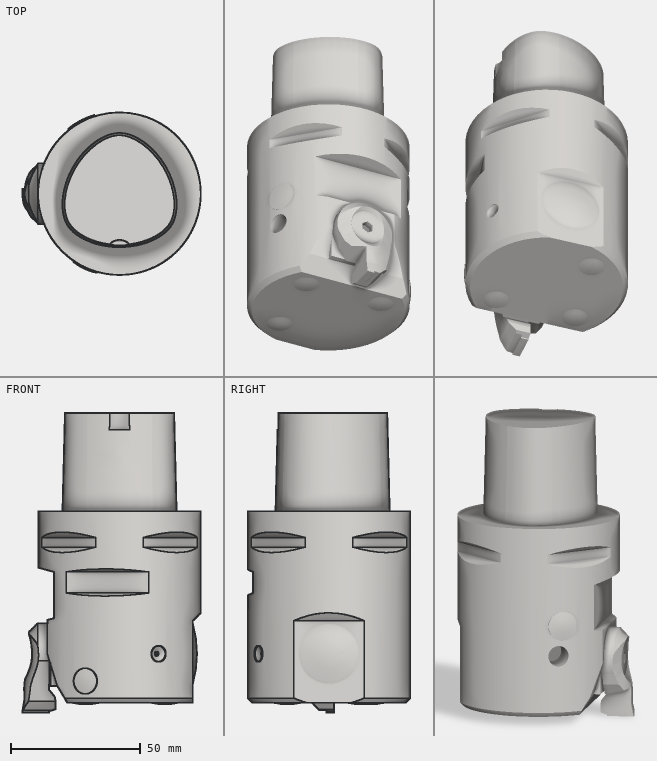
import math

import cadquery as cq

BODY_DIAMETER = 63.0
BODY_RADIUS = BODY_DIAMETER / 2
BODY_LENGTH = 74.2
BODY_CHAMFER = 1.9
BEYOND = 2 * BODY_DIAMETER

SHANK_LENGTH = 38.0
SHANK_BASE_RADIUS = 22.2
SHANK_TAPER = 1 / 40
LOBES = 3
LOBE_ECCENTRICITY = 1.4
SPLINE_STEPS = 6
FLANK_HALF_ANGLE = 25
NOTCH_DIAMETER = 10.0
NOTCH_HEIGHT = 6.5
NOTCH_CENTER_Y = -22.9

GROOVE_Z = -12.1
GROOVE_FLOOR_WIDTH = 3.7
GROOVE_FLOOR_RADIUS = 27.8
GROOVE_WALL_ANGLE = 30
GROOVE_DIRECTIONS = (45, 135, 225, 315)

POCKET_TOP_Z = -23.5
POCKET_HEIGHT = 8.1
POCKET_FLOOR_RADIUS = 27.0
POCKET_DIRECTION = 260
FLARE_ANGLE = 15

RELIEF_FLOOR_X = -25.4
RELIEF_BOTTOM_Z = -41.4
TOOL_FACE_X = -28.0
TOOL_AXIS_Z = -55.2
SLOPE_KNEE_X = -24.1
SLOPE_KNEE_Z = -67.6
SLOPE_END_X = -20.2

SEAT_X = -26.7
SEAT_BOTTOM_Z = -67.7
SEAT_DIAMETER = 24.0
SEAT_CLEARANCE = 9.3
SEAT_BLOCK_DEPTH = 9.3

FLAT_X = 28.4
FLAT_TOP_Z = -42.5

PLUG_DIAMETER = 10.0
PLUG_RISE = 0.6
PLUG_SINK = 3.5
WALL_PLUG_DIRECTION = 245
WALL_PLUG_Z = -65.8
LARGE_PLUG_DIAMETER = 11.4
LARGE_PLUG_DIRECTION = 118
LARGE_PLUG_Z = -38.5
FLAT_PLUG_DIAMETER = 23.2
FLAT_PLUG_RISE = 1.6
BOTTOM_PLUG_PLACES = ((-13.1, -16.1), (-13.1, 16.1), (17.4, 12.4))

SIDE_HOLE_DIAMETER = 8.0
SIDE_HOLE_DEPTH = 11.6
SIDE_HOLE_DIRECTION = 115
SIDE_HOLE_Z = -50.2
NOZZLE_DIRECTION = 299
NOZZLE_RIM_DIAMETER = 6.3
NOZZLE_RIM_DEPTH = 0.5
NOZZLE_MOUTH_DIAMETER = 6.0
NOZZLE_THROAT_DIAMETER = 1.7
NOZZLE_CONE_DEPTH = 1.4
NOZZLE_BORE_DIAMETER = 1.0
NOZZLE_BORE_DEPTH = 4.6

HEAD_DIAMETER = 23.8
HEAD_RADIUS = HEAD_DIAMETER / 2
HEAD_RIM_X = -31.7
FRONT_MARGIN = 1.2
HEAD_FRONT_X = -38.3
BLADE_BACK_X = -27.3
GULLET_Y = 2.0
GULLET_FRONT_Z = -66.4
GULLET_BACK_Z = -68.7
TIP_X = -37.7
TIP_END_Y = -1.0
TIP_Z = -78.0

SCREW_HEAD_DIAMETER = 13.6
SCREW_FRONT_X = -33.9
SCREW_SEAT_X = -30.2
SCREW_SHANK_DIAMETER = 6.0
SCREW_TIP_X = -17.4
SCREW_HEX_DIAMETER = 5.0
HEX_SIDES = 6
SCREW_HEX_DEPTH = 2.9
HEX_TURN = 90
COUNTERSINK_DIAMETER = 13.9
COUNTERSINK_SLOPE = 1.1


def radial_plane(direction, distance, z):
    """Plane facing away from the tool axis, with its local Y along Z."""
    angle = math.radians(direction)
    outward = cq.Vector(math.cos(angle), math.sin(angle), 0)
    sideways = (-math.sin(angle), math.cos(angle), 0)
    return cq.Plane(outward * distance + cq.Vector(0, 0, z), sideways, outward)


def tool_plane(x):
    """Plane at x facing -X, centred on the axis of the cutting head."""
    return radial_plane(180, -x, TOOL_AXIS_Z)


def lobe_point(parameter, radius):
    """Point of the three-lobed curve; parameter 0 is the middle of the -Y flank."""
    t = math.radians(parameter)
    e = LOBE_ECCENTRICITY
    outward = radius * math.cos(t) - 2 * e * math.cos(2 * t) + e * math.cos(4 * t)
    sideways = radius * math.sin(t) + 2 * e * math.sin(2 * t) + e * math.sin(4 * t)
    return sideways, -outward


def lobe_wire(z):
    radius = SHANK_BASE_RADIUS - SHANK_TAPER * z
    pitch = 360 / LOBES
    edges = []
    for lobe in range(LOBES):
        flank_middle = pitch * lobe
        flank_start = flank_middle - FLANK_HALF_ANGLE
        seams = (flank_start, flank_middle + FLANK_HALF_ANGLE, flank_start + pitch)
        for start, end in zip(seams, seams[1:]):
            steps = [start + (end - start) * k / SPLINE_STEPS for k in range(SPLINE_STEPS + 1)]
            edges.append(cq.Edge.makeSpline([cq.Vector(*lobe_point(s, radius), z) for s in steps]))
    return cq.Wire.assembleEdges(edges)


def make_shank():
    shank = cq.Workplane(cq.Solid.makeLoft([lobe_wire(0), lobe_wire(SHANK_LENGTH)], True))
    notch = (
        cq.Workplane("XY", origin=(0, NOTCH_CENTER_Y, SHANK_LENGTH - NOTCH_HEIGHT))
        .circle(NOTCH_DIAMETER / 2)
        .extrude(NOTCH_HEIGHT)
    )
    return shank.cut(notch)


def flared_slot(direction, floor_radius, middle_z, floor_width, wall_angle):
    """Straight slot across the round body whose walls open outward from its flat floor."""
    depth = BODY_RADIUS - floor_radius
    half_floor = floor_width / 2
    half_mouth = half_floor + depth * math.tan(math.radians(wall_angle))
    return (
        cq.Workplane("XZ")
        .moveTo(floor_radius, middle_z - half_floor)
        .lineTo(BODY_RADIUS, middle_z - half_mouth)
        .lineTo(BODY_RADIUS, middle_z + half_mouth)
        .lineTo(floor_radius, middle_z + half_floor)
        .close()
        .extrude(BODY_RADIUS, both=True)
        .rotate((0, 0, 0), (0, 0, 1), direction)
    )


def tool_face_cutter():
    flare = math.tan(math.radians(FLARE_ANGLE))
    outer_x = -BEYOND
    profile = [
        (outer_x, POCKET_TOP_Z + (RELIEF_FLOOR_X - outer_x) * flare),
        (RELIEF_FLOOR_X, POCKET_TOP_Z),
        (RELIEF_FLOOR_X, RELIEF_BOTTOM_Z),
        (TOOL_FACE_X, RELIEF_BOTTOM_Z - (RELIEF_FLOOR_X - TOOL_FACE_X) * flare),
        (TOOL_FACE_X, TOOL_AXIS_Z),
        (SLOPE_KNEE_X, SLOPE_KNEE_Z),
        (SLOPE_END_X, -BODY_LENGTH),
        (outer_x, -BODY_LENGTH),
    ]
    return cq.Workplane("XZ").polyline(profile).close().extrude(BODY_RADIUS, both=True)


def seat_block(start_x, depth):
    """Block below the tool axis, as wide as the seat, reaching from start_x toward -X."""
    height = TOOL_AXIS_Z - SEAT_BOTTOM_Z
    return (
        cq.Workplane(tool_plane(start_x))
        .center(0, -height / 2)
        .rect(SEAT_DIAMETER, height)
        .extrude(depth)
    )


def flat_cutter():
    profile = [
        (FLAT_X, -BODY_LENGTH),
        (FLAT_X, FLAT_TOP_Z),
        (BODY_RADIUS, FLAT_TOP_Z + BODY_RADIUS - FLAT_X),
        (BODY_RADIUS, -BODY_LENGTH),
    ]
    return cq.Workplane("XZ").polyline(profile).close().extrude(BODY_RADIUS, both=True)


def domed_plug(plane, diameter, rise):
    """Short round plug sunk below the plane, with a spherical cap rising above it."""
    radius = diameter / 2
    sphere_radius = (radius**2 + rise**2) / (2 * rise)
    stem = cq.Workplane(plane).workplane(offset=-PLUG_SINK).circle(radius).extrude(PLUG_SINK + rise)
    ball = cq.Workplane(plane).workplane(offset=rise - sphere_radius).sphere(sphere_radius)
    return stem.intersect(ball)


def plugs():
    bottom = [cq.Plane((x, y, -BODY_LENGTH), (1, 0, 0), (0, 0, -1)) for x, y in BOTTOM_PLUG_PLACES]
    small = bottom + [radial_plane(WALL_PLUG_DIRECTION, BODY_RADIUS, WALL_PLUG_Z)]
    return [domed_plug(plane, PLUG_DIAMETER, PLUG_RISE) for plane in small] + [
        domed_plug(
            radial_plane(LARGE_PLUG_DIRECTION, BODY_RADIUS, LARGE_PLUG_Z), LARGE_PLUG_DIAMETER, PLUG_RISE
        ),
        domed_plug(radial_plane(0, FLAT_X, TOOL_AXIS_Z), FLAT_PLUG_DIAMETER, FLAT_PLUG_RISE),
    ]


def side_hole():
    plane = radial_plane(SIDE_HOLE_DIRECTION, BODY_RADIUS - SIDE_HOLE_DEPTH, SIDE_HOLE_Z)
    return cq.Workplane(plane).circle(SIDE_HOLE_DIAMETER / 2).extrude(2 * SIDE_HOLE_DEPTH)


def nozzle():
    rim_floor = radial_plane(NOZZLE_DIRECTION, BODY_RADIUS - NOZZLE_RIM_DEPTH, TOOL_AXIS_Z)
    start = cq.Workplane(rim_floor)
    rim = start.circle(NOZZLE_RIM_DIAMETER / 2).extrude(2 * NOZZLE_RIM_DEPTH)
    cone = (
        start.circle(NOZZLE_MOUTH_DIAMETER / 2)
        .workplane(offset=-NOZZLE_CONE_DEPTH)
        .circle(NOZZLE_THROAT_DIAMETER / 2)
        .loft()
    )
    bore = start.circle(NOZZLE_BORE_DIAMETER / 2).extrude(-NOZZLE_BORE_DEPTH)
    return rim.union(cone).union(bore)


def make_housing():
    body = (
        cq.Workplane("XY", origin=(0, 0, -BODY_LENGTH))
        .circle(BODY_RADIUS)
        .extrude(BODY_LENGTH)
        .faces("<Z")
        .chamfer(BODY_CHAMFER)
    )
    for direction in GROOVE_DIRECTIONS:
        body = body.cut(
            flared_slot(direction, GROOVE_FLOOR_RADIUS, GROOVE_Z, GROOVE_FLOOR_WIDTH, GROOVE_WALL_ANGLE)
        )
    pocket_z = POCKET_TOP_Z - POCKET_HEIGHT / 2
    body = body.cut(flared_slot(POCKET_DIRECTION, POCKET_FLOOR_RADIUS, pocket_z, POCKET_HEIGHT, FLARE_ANGLE))
    body = body.cut(tool_face_cutter()).cut(flat_cutter())
    body = body.union(seat_block(SEAT_X + SEAT_BLOCK_DEPTH, SEAT_BLOCK_DEPTH))
    body = body.cut(seat_block(SEAT_X, SEAT_CLEARANCE))
    body = body.cut(cq.Workplane(tool_plane(SEAT_X)).circle(SEAT_DIAMETER / 2).extrude(SEAT_CLEARANCE))
    for plug in plugs():
        body = body.union(plug)
    return body.cut(side_hole()).cut(nozzle()).union(make_shank()).cut(make_screw_envelope())


def make_screw_envelope():
    """Head and shank of the screw without its socket."""
    head = (
        cq.Workplane(tool_plane(SCREW_SEAT_X))
        .circle(SCREW_HEAD_DIAMETER / 2)
        .extrude(SCREW_SEAT_X - SCREW_FRONT_X)
    )
    shank = (
        cq.Workplane(tool_plane(SCREW_TIP_X))
        .circle(SCREW_SHANK_DIAMETER / 2)
        .extrude(SCREW_TIP_X - SCREW_SEAT_X)
    )
    return head.union(shank)


def make_screw():
    socket = (
        cq.Workplane(tool_plane(SCREW_FRONT_X))
        .transformed(rotate=(0, 0, HEX_TURN))
        .polygon(HEX_SIDES, SCREW_HEX_DIAMETER)
        .extrude(-SCREW_HEX_DEPTH)
    )
    return make_screw_envelope().cut(socket)


def head_disc():
    """Round disc whose front edge is a wide 45 degree cone."""
    cone_length = HEAD_RIM_X - HEAD_FRONT_X
    rim = cq.Workplane(tool_plane(SEAT_X)).circle(HEAD_RADIUS).extrude(SEAT_X - HEAD_RIM_X)
    cone = (
        cq.Workplane(tool_plane(HEAD_RIM_X))
        .circle(HEAD_RADIUS)
        .workplane(offset=cone_length)
        .circle(HEAD_RADIUS - cone_length)
        .loft()
    )
    return rim.union(cone)


def blade():
    """Blade hanging from the disc, from its side outline and its stepped back."""
    outline = [
        (-11.6, -58.0),
        (-7.1, -73.7),
        (-3.6, -77.1),
        (TIP_END_Y, -77.1),
        (TIP_END_Y, TIP_Z),
        (GULLET_Y, TIP_Z),
        (GULLET_Y, GULLET_BACK_Z),
        (6.0, GULLET_BACK_Z),
        (9.6, -64.1),
        (11.5, -58.1),
    ]
    back = [
        (HEAD_FRONT_X, TOOL_AXIS_Z),
        (BLADE_BACK_X, TOOL_AXIS_Z),
        (BLADE_BACK_X, -69.1),
        (-25.0, -71.8),
        (-24.7, -73.5),
        (-24.7, -76.7),
        (BLADE_BACK_X, -77.5),
        (BLADE_BACK_X, TIP_Z),
        (HEAD_FRONT_X, TIP_Z),
    ]
    gullet = [
        (HEAD_FRONT_X, GULLET_FRONT_Z),
        (-36.5, GULLET_FRONT_Z),
        (BLADE_BACK_X, GULLET_BACK_Z),
        (HEAD_FRONT_X, GULLET_BACK_Z),
    ]
    side = cq.Workplane("YZ", origin=(HEAD_FRONT_X, 0, 0)).polyline(outline).close().extrude(-HEAD_FRONT_X)
    profile = cq.Workplane("XZ").polyline(back).close().extrude(HEAD_DIAMETER, both=True)
    slope = (
        cq.Workplane("XZ", origin=(0, GULLET_Y, 0)).polyline(gullet).close().extrude(-HEAD_RADIUS)
    )
    return side.intersect(profile).cut(slope)


def front_envelope():
    """Space from the curved front back to X = 0; its arc across Y tightens down the blade."""
    half_width = HEAD_RADIUS + FRONT_MARGIN
    front_arcs = [
        (-36.0, -42.3, 19.7),
        (-35.5, -47.1, 19.7),
        (-35.3, -51.0, 19.7),
        (-35.3, -57.3, 19.7),
        (-35.6, -60.5, 18.6),
        (-36.4, -64.1, 17.4),
        (-37.0, -69.1, 16.2),
        (-37.2, -74.6, 15.1),
        (-37.4, TIP_Z, 15.1),
    ]
    sections = []
    for x, z, radius in front_arcs:
        edge_x = x + radius - math.sqrt(radius**2 - half_width**2)
        section = (
            cq.Workplane("XY", origin=(0, 0, z))
            .moveTo(edge_x, -half_width)
            .threePointArc((x, 0), (edge_x, half_width))
            .lineTo(0, half_width)
            .lineTo(0, -half_width)
            .close()
        )
        sections.append(section.val())
    return cq.Workplane(cq.Solid.makeLoft(sections, False))


def cutting_edge():
    """Small ridge along the foot of the blade that juts out in front."""
    profile = [
        (BLADE_BACK_X, -76.8),
        (-37.1, -76.8),
        (TIP_X, -77.6),
        (TIP_X, TIP_Z),
        (BLADE_BACK_X, TIP_Z),
    ]
    return (
        cq.Workplane("XZ", origin=(0, GULLET_Y, 0)).polyline(profile).close().extrude(GULLET_Y - TIP_END_Y)
    )


def countersink():
    depth = SCREW_FRONT_X - HEAD_FRONT_X
    radius = COUNTERSINK_DIAMETER / 2
    return (
        cq.Workplane(tool_plane(SCREW_FRONT_X))
        .circle(radius)
        .workplane(offset=depth)
        .circle(radius + COUNTERSINK_SLOPE * depth)
        .loft()
    )


def make_cutting_head():
    solid = head_disc().union(blade()).intersect(front_envelope()).union(cutting_edge())
    return solid.cut(countersink()).cut(make_screw_envelope())


housing = make_housing()
cutting_head = make_cutting_head()
screw = make_screw()

result = cq.Compound.makeCompound([housing.val(), cutting_head.val(), screw.val()])